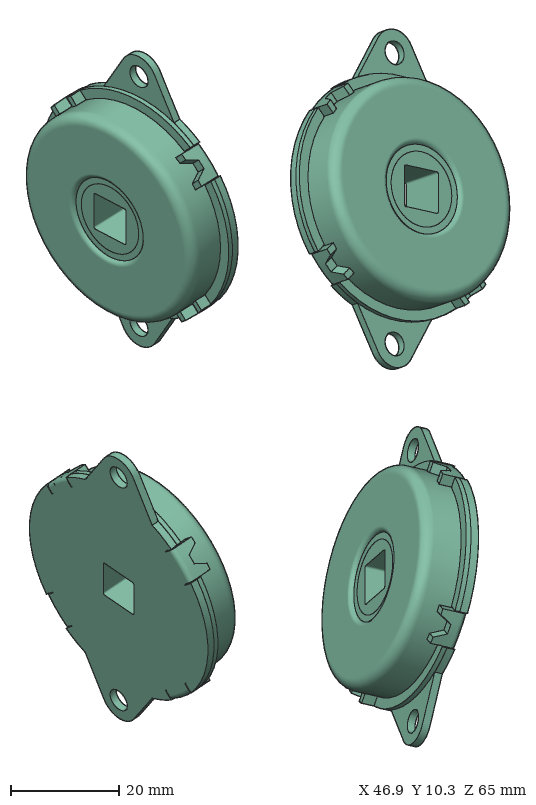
import cadquery as cq
import math

total_depth = 10.3
total_height = 65.0

plate_radius = 23.46
plate_thickness = 1.6
ear_spacing = 56.0
ear_hole_diameter = 4.5
ear_centre = ear_spacing / 2
ear_radius = total_height / 2 - ear_centre
ear_flank_angle = math.radians(30.0)

flange_thickness = 1.0
flange_front = plate_thickness + flange_thickness
wall_radius = 21.4
rim_fillet = 2.0
lip_radius = 9.5
lip_fillet = 1.0
recess_depth = 0.8
recess_floor = total_depth - recess_depth

clip_angles = (45.0, 135.0, 225.0, 315.0)
clip_width = 7.0
clip_reach = 5.1
clip_bend_radius = 0.9
clip_clearance = 0.15
clip_slot_width = clip_width + 2 * clip_clearance
notch_mouth_width = 4.4
notch_floor_width = 1.9

hub_radius = 7.2
drive_size = 8.0
drive_corner_radius = 0.4


def at_depth(depth):
    """Sketch plane facing -Y, with local X along X and local Y along Z."""
    return cq.Workplane("XZ", origin=(0, -depth, 0))


def disc(radius, start, end):
    return at_depth(start).circle(radius).extrude(end - start)


def turned_to(angle, solid):
    """Swing a solid from the +X direction to the given angle around the axis."""
    return solid.rotate((0, 0, 0), (0, 1, 0), -angle)


def ear_blank(side):
    """Rounded tip with two tangent flanks that run into the plate; side is +1 or -1 along Z."""
    tangent_x = ear_radius * math.cos(ear_flank_angle)
    tangent_z = ear_centre + ear_radius * math.sin(ear_flank_angle)
    root_z = plate_radius / 2
    root_x = tangent_x + (tangent_z - root_z) * math.tan(ear_flank_angle)
    return (
        at_depth(0)
        .moveTo(-root_x, side * root_z)
        .lineTo(-tangent_x, side * tangent_z)
        .threePointArc((0, side * (ear_centre + ear_radius)), (tangent_x, side * tangent_z))
        .lineTo(root_x, side * root_z)
        .close()
        .extrude(plate_thickness)
    )


def ear_hole(side):
    return (
        at_depth(0)
        .center(0, side * ear_centre)
        .circle(ear_hole_diameter / 2)
        .extrude(plate_thickness)
    )


def rim_sector(angle, width, depth):
    """Parallel-sided piece of the ring between the cap wall and the plate rim."""
    bar = cq.Workplane("YZ").center(-depth / 2, 0).rect(depth, width).extrude(2 * plate_radius)
    ring = disc(plate_radius, 0, depth).cut(disc(wall_radius, 0, depth))
    return ring.intersect(turned_to(angle, bar))


def clip_notch(angle):
    """Tapered notch that splits the clip end into two prongs."""
    notch = (
        cq.Workplane("YZ")
        .moveTo(-clip_reach, -notch_mouth_width / 2)
        .lineTo(-flange_front, -notch_floor_width / 2)
        .lineTo(-flange_front, notch_floor_width / 2)
        .lineTo(-clip_reach, notch_mouth_width / 2)
        .close()
        .extrude(2 * plate_radius)
    )
    return turned_to(angle, notch)


def clip(angle):
    """Clip with a rounded bend at its back outer edge and a notched front end."""
    bend_envelope = disc(plate_radius, 0, clip_reach).faces(">Y").edges().fillet(clip_bend_radius)
    return rim_sector(angle, clip_width, clip_reach).intersect(bend_envelope).cut(clip_notch(angle))


def make_base():
    """Mounting plate with ears, clips and the hub that carries the square drive."""
    base = disc(plate_radius, 0, plate_thickness)
    for side in (1, -1):
        base = base.union(ear_blank(side)).cut(ear_hole(side))
    for angle in clip_angles:
        base = base.cut(rim_sector(angle, clip_slot_width, plate_thickness))
        base = base.union(clip(angle))
    base = base.union(disc(hub_radius, 0, recess_floor))
    drive = (
        at_depth(0)
        .rect(drive_size, drive_size)
        .extrude(total_depth)
        .edges("|Y")
        .fillet(drive_corner_radius)
    )
    return base.cut(drive)


def make_cap():
    """Turned cap, bored for the hub and with its flange slotted around the clips."""
    lip_floor_angle = math.asin((lip_fillet - recess_depth) / lip_fillet)
    lip_middle_angle = (math.pi / 2 + lip_floor_angle) / 2

    def lip_point(angle):
        radius = lip_radius - lip_fillet * math.cos(angle)
        depth = total_depth - lip_fillet + lip_fillet * math.sin(angle)
        return (radius, -depth)

    rim_offset = rim_fillet * (1 - math.sqrt(0.5))
    cap = (
        cq.Workplane("XY")
        .moveTo(hub_radius, -plate_thickness)
        .lineTo(plate_radius, -plate_thickness)
        .lineTo(plate_radius, -flange_front)
        .lineTo(wall_radius, -flange_front)
        .lineTo(wall_radius, -(total_depth - rim_fillet))
        .threePointArc(
            (wall_radius - rim_offset, -(total_depth - rim_offset)),
            (wall_radius - rim_fillet, -total_depth),
        )
        .lineTo(lip_radius, -total_depth)
        .threePointArc(lip_point(lip_middle_angle), lip_point(lip_floor_angle))
        .lineTo(hub_radius, -recess_floor)
        .close()
        .revolve(360, (0, 0, 0), (0, 1, 0))
    )
    for angle in clip_angles:
        cap = cap.cut(rim_sector(angle, clip_slot_width, flange_front))
    return cap


base = make_base()
cap = make_cap()

result = cq.Compound.makeCompound([base.val(), cap.val()])